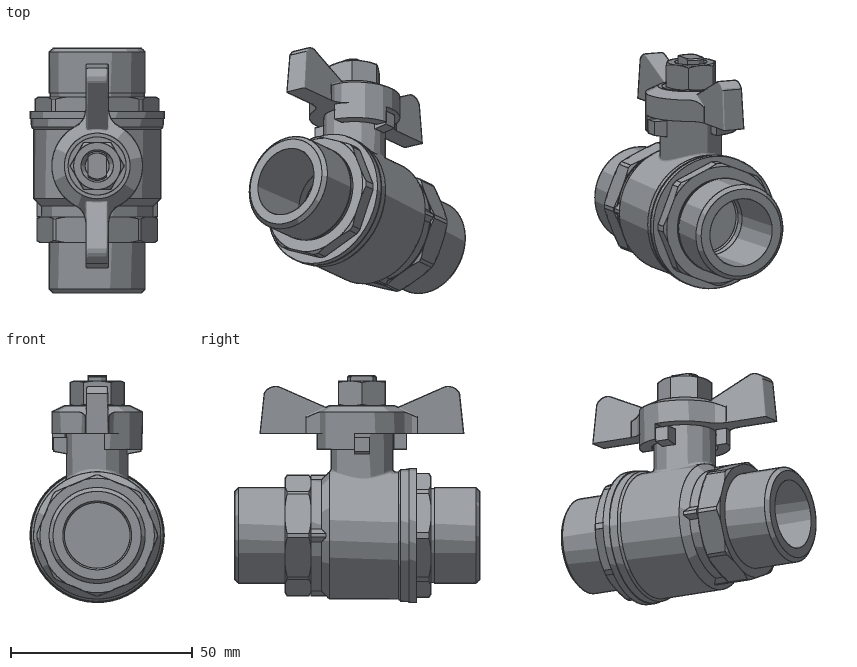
import cadquery as cq
import math


FRONT_END_Y = -35.0
FRONT_OCTAGON_START_Y = -21.1
FRONT_OCTAGON_END_Y = -14.05
NECKED_START_Y = -11.1
BARREL_START_Y = -9.0
BARREL_END_Y = 10.05
RIM_START_Y = 10.65
JOINT_Y = 13.0
FLANGE_END_Y = 15.05
CAP_OCTAGON_END_Y = 19.0
RELIEF_END_Y = 20.05
CAP_END_Y = 32.5

PIPE_DIAMETER = 26.45
PIPE_CHAMFER = 1.1
RELIEF_DIAMETER = 26.0
BORE_DIAMETER = 19.0
PORT_DIAMETER = 18.1
BARREL_DIAMETER = 35.0
NECKED_DIAMETER = 30.9
RIM_EDGE_DIAMETER = 36.3
RIM_DIAMETER = 36.6
FLANGE_DIAMETER = 37.0
OCTAGON_SIDES = 8
FRONT_OCTAGON_FLATS = 31.1
FRONT_OCTAGON_CORNERS = 33.3
CAP_OCTAGON_FLATS = 32.1
CAP_OCTAGON_CORNERS = 34.15
OCTAGON_FACE_MARGIN = 0.4
OCTAGON_CHAMFER = 0.55

RIB_COUNT = 4
RIB_TIP_WIDTH = 0.95
RIB_ROOT_DEPTH = 0.7

TOWER_DIAMETER = 17.0
TOWER_FILLET = 0.8
LUG_SPAN = 24.0
LUG_WIDTH = 4.05
LUG_TOP_Z = 27.0
LUG_ROOT_Z = 22.5
LUG_TIP_Z = 23.15
BALL_DIAMETER = 27.0

HANDLE_BOTTOM_Z = 28.1
HUB_TOP_Z = 35.8
HUB_DIAMETER = 25.0
HUB_TOP_DIAMETER = 18.1
HUB_CONE_SLOPE = 0.5
RECESS_DIAMETER = 16.0
RECESS_DEPTH = 0.1
FLARE_RADIUS = 4.85
FLARE_HALF_WIDTH = 3.25
SKIRT_BOTTOM_Z = 23.7
SKIRT_INNER_DIAMETER = 18.2
WING_TIP_Y = 28.1
WING_SHOULDER = (26.9, 39.1)
WING_ARC_MIDDLE = (25.4, 40.65)
WING_CREST = (22.75, 40.9)
WING_ROOT = (6.75, 33.9)
WING_WIDTH = 6.2
WING_DRAFT = 1.0
WING_EDGE_FILLET = 0.5
WING_FOOT_FILLET = 0.35

STEM_DIAMETER = 7.95
STEM_FLATS = 5.0
STEM_TOP_Z = 44.0
STEM_CHAMFER = 0.4
NUT_SIDES = 6
NUT_FLATS = 12.95
NUT_TOP_Z = 42.5
NUT_CHAMFER = 0.4
NUT_BORE_DIAMETER = 6.6
NUT_COUNTERSINK_DIAMETER = 8.9


def cylinder(diameter, bottom, top):
    return cq.Workplane("XY").workplane(offset=bottom).circle(diameter / 2).extrude(top - bottom)


def turned_about_pipe(profile):
    """Revolve (diameter, y) points, closed along the pipe axis."""
    points = [(0, profile[0][1])]
    points += [(diameter / 2, y) for diameter, y in profile]
    points.append((0, profile[-1][1]))
    return cq.Workplane("XY").polyline(points).close().revolve(360, (0, 0, 0), (0, 1, 0))


def chamfered_prism(sides, flats, corners, face, chamfer, height, chamfer_start=True):
    """Regular prism along +Z, its corners turned to a diameter and its end faces chamfered."""
    sharp_corners = flats / math.cos(math.pi / sides)
    prism = cq.Workplane("XY").polygon(sides, sharp_corners).extrude(height)
    envelope = cylinder(corners, 0, height)
    ends = envelope.faces("|Z") if chamfer_start else envelope.faces(">Z")
    return prism.intersect(ends.chamfer(chamfer, (corners - face) / 2))


def octagon_on_pipe(flats, corners, start, end, chamfer_start=True):
    face = flats + OCTAGON_FACE_MARGIN
    prism = chamfered_prism(
        OCTAGON_SIDES, flats, corners, face, OCTAGON_CHAMFER, end - start, chamfer_start
    )
    return prism.rotate((0, 0, 0), (1, 0, 0), -90).translate((0, start, 0))


ball_flat_y = math.sqrt((BALL_DIAMETER / 2) ** 2 - (PORT_DIAMETER / 2) ** 2)


def make_ball():
    port = PORT_DIAMETER / 2
    return (
        cq.Workplane("XY")
        .moveTo(0, -ball_flat_y)
        .lineTo(port, -ball_flat_y)
        .threePointArc((BALL_DIAMETER / 2, 0), (port, ball_flat_y))
        .lineTo(0, ball_flat_y)
        .close()
        .revolve(360, (0, 0, 0), (0, 1, 0))
    )


def bore(end_y):
    """Pipe bore from one end to the ball, with a 45 degree step down to the port."""
    side = math.copysign(1, end_y)
    step_y = ball_flat_y + (BORE_DIAMETER - PORT_DIAMETER) / 2
    return turned_about_pipe([
        (BORE_DIAMETER, end_y),
        (BORE_DIAMETER, side * step_y),
        (PORT_DIAMETER, side * ball_flat_y),
    ])


def make_stem():
    stem = cylinder(STEM_DIAMETER, 0, STEM_TOP_Z).faces(">Z").chamfer(STEM_CHAMFER)
    height = STEM_TOP_Z - HANDLE_BOTTOM_Z
    flats = (
        cq.Workplane("XY")
        .box(STEM_FLATS, STEM_DIAMETER, height, centered=(True, True, False))
        .translate((0, 0, HANDLE_BOTTOM_Z))
    )
    shank = cylinder(STEM_DIAMETER, 0, HANDLE_BOTTOM_Z)
    return stem.intersect(shank.union(flats)).cut(make_ball())


def ribs():
    """Ribs with 45 degree flanks, in line with the octagon corners on the X and Z axes."""
    reach = FRONT_OCTAGON_CORNERS / 2
    root = NECKED_DIAMETER / 2 - RIB_ROOT_DEPTH
    tip = RIB_TIP_WIDTH / 2
    flare = tip + reach - root
    rib = (
        cq.Workplane("XZ", origin=(0, FRONT_OCTAGON_END_Y, 0))
        .polyline([(root, -flare), (reach, -tip), (reach, tip), (root, flare)])
        .close()
        .extrude(FRONT_OCTAGON_END_Y - BARREL_START_Y)
    )
    pattern = rib
    for index in range(1, RIB_COUNT):
        pattern = pattern.union(rib.rotate((0, 0, 0), (0, 1, 0), index * 360 / RIB_COUNT))
    return pattern


def stop_lugs():
    tip = LUG_SPAN / 2
    root = TOWER_DIAMETER / 2
    points = [(-tip, LUG_TOP_Z), (tip, LUG_TOP_Z), (tip, LUG_TIP_Z)]
    points += [(root, LUG_ROOT_Z), (-root, LUG_ROOT_Z), (-tip, LUG_TIP_Z)]
    return cq.Workplane("XZ").polyline(points).close().extrude(LUG_WIDTH / 2, both=True)


def barrel_with_tower():
    """Barrel and filleted tower, the fillet cut off flush with the barrel's front edge."""
    barrel = turned_about_pipe([
        (BARREL_DIAMETER, NECKED_START_Y),
        (BARREL_DIAMETER, RIM_START_Y),
    ])
    tower = cylinder(TOWER_DIAMETER, 0, HANDLE_BOTTOM_Z)
    joined = barrel.union(tower)
    tower_radius = TOWER_DIAMETER / 2 + TOWER_FILLET
    seam = cq.selectors.BoxSelector(
        (-tower_radius, -tower_radius, TOWER_DIAMETER / 2),
        (tower_radius, tower_radius, BARREL_DIAMETER / 2 + TOWER_FILLET),
    )
    joined = joined.edges(seam).fillet(TOWER_FILLET)
    trim_diameter = BARREL_DIAMETER + TOWER_DIAMETER
    end_trim = turned_about_pipe([
        (NECKED_DIAMETER, NECKED_START_Y),
        (BARREL_DIAMETER, BARREL_START_Y),
        (trim_diameter, BARREL_START_Y),
        (trim_diameter, RIM_START_Y),
    ])
    above = cylinder(TOWER_DIAMETER, BARREL_DIAMETER / 2, HANDLE_BOTTOM_Z)
    return joined.intersect(end_trim.union(above))


def make_housing():
    outside = turned_about_pipe([
        (PIPE_DIAMETER - 2 * PIPE_CHAMFER, FRONT_END_Y),
        (PIPE_DIAMETER, FRONT_END_Y + PIPE_CHAMFER),
        (PIPE_DIAMETER, FRONT_OCTAGON_END_Y),
        (NECKED_DIAMETER, FRONT_OCTAGON_END_Y),
        (NECKED_DIAMETER, NECKED_START_Y),
    ])
    rim = turned_about_pipe([
        (BARREL_DIAMETER, BARREL_END_Y),
        (RIM_EDGE_DIAMETER, RIM_START_Y),
        (RIM_DIAMETER, JOINT_Y),
    ])
    octagon = octagon_on_pipe(
        FRONT_OCTAGON_FLATS, FRONT_OCTAGON_CORNERS, FRONT_OCTAGON_START_Y, FRONT_OCTAGON_END_Y
    )
    housing = barrel_with_tower().union(outside).union(rim).union(octagon)
    housing = housing.union(ribs()).union(stop_lugs())
    return housing.cut(make_ball()).cut(bore(FRONT_END_Y)).cut(bore(CAP_END_Y)).cut(make_stem())


def make_end_cap():
    cap = turned_about_pipe([
        (FLANGE_DIAMETER, JOINT_Y),
        (FLANGE_DIAMETER, FLANGE_END_Y),
        (RELIEF_DIAMETER, FLANGE_END_Y),
        (RELIEF_DIAMETER, RELIEF_END_Y),
        (PIPE_DIAMETER, RELIEF_END_Y),
        (PIPE_DIAMETER, CAP_END_Y - PIPE_CHAMFER),
        (PIPE_DIAMETER - 2 * PIPE_CHAMFER, CAP_END_Y),
    ])
    octagon = octagon_on_pipe(
        CAP_OCTAGON_FLATS, CAP_OCTAGON_CORNERS, FLANGE_END_Y, CAP_OCTAGON_END_Y, False
    )
    return cap.union(octagon).cut(bore(CAP_END_Y))


def hub_plan():
    """Round hub outline with concave flares towards both wings, as a prism."""
    radius = HUB_DIAMETER / 2
    arc_x = FLARE_HALF_WIDTH + FLARE_RADIUS
    arc_y = math.sqrt((radius + FLARE_RADIUS) ** 2 - arc_x ** 2)
    disc = cylinder(HUB_DIAMETER, HANDLE_BOTTOM_Z, HUB_TOP_Z)
    tangent_share = radius / (radius + FLARE_RADIUS)
    web_width = 2 * arc_x * tangent_share
    web = (
        cq.Workplane("XY", origin=(0, 0, HANDLE_BOTTOM_Z))
        .rect(web_width, 2 * arc_y)
        .extrude(HUB_TOP_Z - HANDLE_BOTTOM_Z)
    )
    hollows = (
        cq.Workplane("XY", origin=(0, 0, HANDLE_BOTTOM_Z))
        .rect(2 * arc_x, 2 * arc_y, forConstruction=True)
        .vertices()
        .circle(FLARE_RADIUS)
        .extrude(HUB_TOP_Z - HANDLE_BOTTOM_Z)
    )
    return disc.union(web.cut(hollows))


def hub_cone_z(radius):
    return HUB_TOP_Z - HUB_CONE_SLOPE * (radius - HUB_TOP_DIAMETER / 2)


def hub_cone():
    """Disc under the conical hub top, wide enough to cover the flares."""
    top_radius = HUB_TOP_DIAMETER / 2
    outer_radius = HUB_DIAMETER / 2 + FLARE_RADIUS
    return (
        cq.Workplane("XZ")
        .polyline([
            (0, HANDLE_BOTTOM_Z),
            (outer_radius, HANDLE_BOTTOM_Z),
            (outer_radius, hub_cone_z(outer_radius)),
            (top_radius, HUB_TOP_Z),
            (0, HUB_TOP_Z),
        ])
        .close()
        .revolve(360, (0, 0, 0), (0, 1, 0))
    )


def wing():
    """Wing towards +Y, tapering in thickness upwards, with rounded upper edges."""
    outline = (
        cq.Workplane("YZ")
        .moveTo(0, HANDLE_BOTTOM_Z)
        .lineTo(WING_TIP_Y, HANDLE_BOTTOM_Z)
        .lineTo(*WING_SHOULDER)
        .threePointArc(WING_ARC_MIDDLE, WING_CREST)
        .lineTo(*WING_ROOT)
        .lineTo(0, WING_ROOT[1])
        .close()
        .extrude(WING_WIDTH, both=True)
    )
    blade = (
        cq.Workplane("XY", origin=(0, WING_TIP_Y / 2, HANDLE_BOTTOM_Z))
        .rect(WING_WIDTH, 2 * WING_TIP_Y)
        .extrude(WING_TIP_Y, taper=WING_DRAFT)
    )
    outer_edges = cq.selectors.BoxSelector(
        (-WING_WIDTH, WING_ROOT[0], HANDLE_BOTTOM_Z + WING_EDGE_FILLET),
        (WING_WIDTH, WING_TIP_Y, WING_CREST[1]),
    )
    side_edges = outline.intersect(blade).edges(outer_edges).edges("not |X")
    return side_edges.fillet(WING_EDGE_FILLET)


def skirt():
    """Two opposite quarter rings below the hub that meet the stop lugs."""
    height = HANDLE_BOTTOM_Z - SKIRT_BOTTOM_Z
    ring = cylinder(HUB_DIAMETER, SKIRT_BOTTOM_Z, HANDLE_BOTTOM_Z)
    ring = ring.cut(cylinder(SKIRT_INNER_DIAMETER, SKIRT_BOTTOM_Z, HANDLE_BOTTOM_Z))
    inset = LUG_WIDTH / 2
    quarter = (
        cq.Workplane("XY")
        .box(HUB_DIAMETER, HUB_DIAMETER, height, centered=False)
        .translate((inset, -inset - HUB_DIAMETER, SKIRT_BOTTOM_Z))
    )
    opposite = quarter.rotate((0, 0, 0), (0, 0, 1), 180)
    return ring.intersect(quarter.union(opposite))


def make_handle():
    front_wing = wing().rotate((0, 0, 0), (0, 0, 1), 180)
    wings = wing().union(front_wing)
    handle = hub_cone().union(wings)
    inner_y = HUB_TOP_DIAMETER / 2
    outer_y = HUB_DIAMETER / 2 + FLARE_RADIUS / 2
    lowest_z = hub_cone_z(outer_y)
    for side in (-1, 1):
        near, far = sorted((side * inner_y, side * outer_y))
        foot = cq.selectors.BoxSelector((-WING_WIDTH / 2, near, lowest_z), (WING_WIDTH / 2, far, HUB_TOP_Z))
        handle = handle.edges(foot).fillet(WING_FOOT_FILLET)
    handle = handle.intersect(hub_plan().union(wings))
    recess = cylinder(RECESS_DIAMETER, HUB_TOP_Z - RECESS_DEPTH, HUB_TOP_Z)
    return handle.union(skirt()).cut(recess).cut(make_stem())


def make_nut():
    bottom = HUB_TOP_Z - RECESS_DEPTH
    height = NUT_TOP_Z - bottom
    corners = NUT_FLATS / math.cos(math.pi / NUT_SIDES)
    nut = chamfered_prism(NUT_SIDES, NUT_FLATS, corners, NUT_FLATS, NUT_CHAMFER, height)
    nut = nut.translate((0, 0, bottom))
    depth = (NUT_COUNTERSINK_DIAMETER - NUT_BORE_DIAMETER) / 2
    hole = cylinder(NUT_BORE_DIAMETER, bottom, NUT_TOP_Z)
    countersink = (
        cq.Workplane("XY", origin=(0, 0, NUT_TOP_Z))
        .circle(NUT_COUNTERSINK_DIAMETER / 2)
        .workplane(offset=-depth)
        .circle(NUT_BORE_DIAMETER / 2)
        .loft()
    )
    return nut.cut(hole).cut(countersink).cut(make_stem())


housing = make_housing()
end_cap = make_end_cap()
ball = make_ball()
stem = make_stem()
handle = make_handle()
nut = make_nut()

bodies = [housing, end_cap, ball, stem, handle, nut]
result = cq.Compound.makeCompound([body.solids().val() for body in bodies])